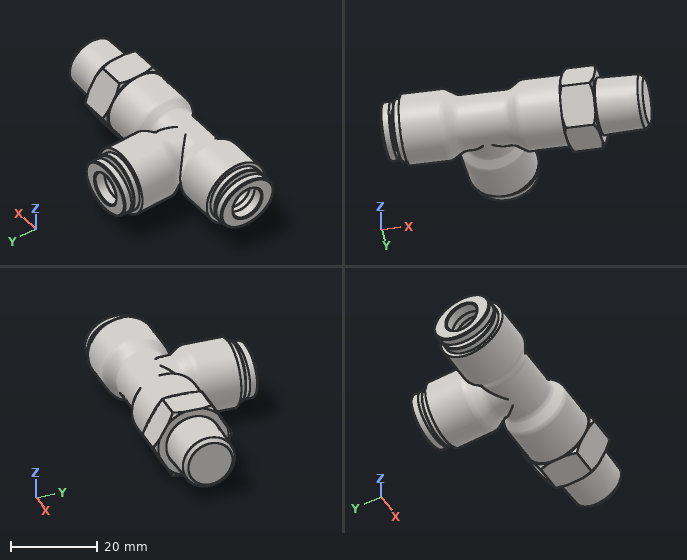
import cadquery as cq
import math


neck_diameter = 13.1
barrel_diameter = 16.9
arm_length = 19.1
taper_start = 6.0
taper_end = 9.0
taper_fillet = 2.1

port_angles = (180, 90)
bore_diameter = 8.2
bore_depth = arm_length - taper_end

collar_diameter = 14.7
collar_length = 1.65
collar_chamfer = 0.2

port_reach = 23.6
button_neck_diameter = 9.6
flange_width = 15.1
flange_height = 13.2
flange_thickness = 2.0
flange_chamfer = 0.25
bore_chamfer = 0.25

overall_length = 61.6
hex_across_flats = 17.0
hex_length = 7.95
hex_face_diameter = 17.5
hex_chamfer_angle = 30.0
thread_start_diameter = 13.5
thread_end_diameter = 12.95
thread_chamfer = 1.0

collar_end = arm_length + collar_length
flange_start = port_reach - flange_thickness
hex_end = arm_length + hex_length
stud_end = overall_length - port_reach
hex_across_corners = hex_across_flats / math.cos(math.radians(30))


def rod(diameter, start, end):
    """Cylinder about the X axis between two X positions."""
    return cq.Workplane("YZ", origin=(start, 0, 0)).circle(diameter / 2).extrude(end - start)


def revolve_about_x(points):
    """Solid of revolution about X from a closed outline of (x, radius) points."""
    return cq.Workplane("XY").polyline(points).close().revolve(360, (0, 0, 0), (1, 0, 0))


def turn(body, angle):
    return body.rotate((0, 0, 0), (0, 0, 1), angle)


def make_arm():
    """Neck, cone and barrel of one arm, with the two cone ends rounded."""
    arm = revolve_about_x([
        (0, 0),
        (0, neck_diameter / 2),
        (taper_start, neck_diameter / 2),
        (taper_end, barrel_diameter / 2),
        (arm_length, barrel_diameter / 2),
        (arm_length, 0),
    ])
    for position in (taper_start, taper_end):
        arm = arm.edges(cq.NearestToPointSelector((position, 0, 0))).fillet(taper_fillet)
    return arm


def make_housing():
    arm = make_arm()
    housing = arm
    for angle in port_angles:
        housing = housing.union(turn(arm, angle))
    for angle in port_angles:
        bore = rod(bore_diameter, arm_length - bore_depth, arm_length)
        housing = housing.cut(turn(bore, angle))
    return housing


def make_collar():
    """Ring seated on the barrel end face."""
    ring = rod(collar_diameter, arm_length, collar_end).faces(">X").chamfer(collar_chamfer)
    return ring.cut(rod(bore_diameter, arm_length, collar_end))


def make_button():
    """Oval flange on a round neck, bored for the tube."""
    flange = (
        cq.Workplane("YZ", origin=(flange_start, 0, 0))
        .ellipse(flange_width / 2, flange_height / 2)
        .extrude(flange_thickness)
        .faces(">X")
        .chamfer(flange_chamfer)
    )
    button = flange.union(rod(button_neck_diameter, collar_end, flange_start))
    button = button.cut(rod(bore_diameter, collar_end, port_reach))
    return button.faces(">X").edges("%CIRCLE").chamfer(bore_chamfer)


def make_hexagon():
    """Hexagon with flats facing +Z and -Z, its corners cut back by a cone at both ends."""
    prism = (
        cq.Workplane("YZ", origin=(arm_length, 0, 0))
        .polygon(6, hex_across_corners)
        .extrude(hex_length)
    )
    face_radius = hex_face_diameter / 2
    corner_radius = hex_across_corners / 2
    chamfer_length = (corner_radius - face_radius) * math.tan(math.radians(hex_chamfer_angle))
    envelope = revolve_about_x([
        (arm_length, 0),
        (arm_length, face_radius),
        (arm_length + chamfer_length, corner_radius),
        (hex_end - chamfer_length, corner_radius),
        (hex_end, face_radius),
        (hex_end, 0),
    ])
    return prism.intersect(envelope)


def make_stud():
    """Hexagon with a tapered, chamfered thread blank."""
    end_radius = thread_end_diameter / 2
    thread = revolve_about_x([
        (hex_end, 0),
        (hex_end, thread_start_diameter / 2),
        (stud_end - thread_chamfer, end_radius),
        (stud_end, end_radius - thread_chamfer),
        (stud_end, 0),
    ])
    return make_hexagon().union(thread)


housing = make_housing()
stud = make_stud()
collars = [turn(make_collar(), angle) for angle in port_angles]
buttons = [turn(make_button(), angle) for angle in port_angles]

result = cq.Compound.makeCompound([
    housing.val(),
    stud.val(),
    *[collar.val() for collar in collars],
    *[button.val() for button in buttons],
])